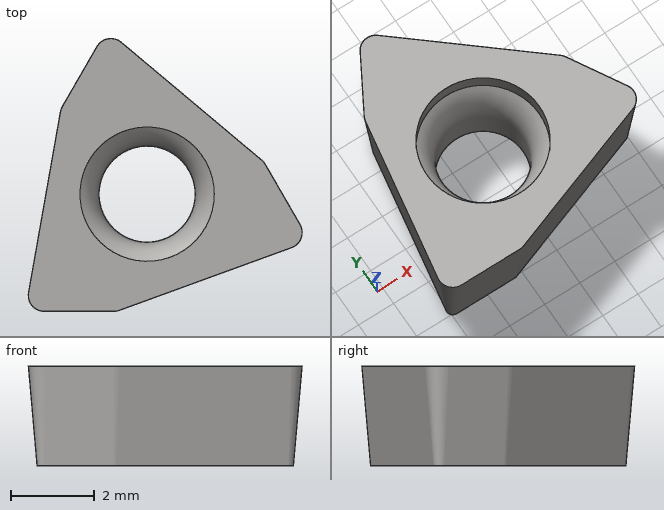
import cadquery as cq
import math

thickness = 2.38
relief_angle = 5.0
long_edge_distance = 2.38
short_edge_distance = 2.795
long_edge_angle = 80.0
corner_radius = 0.385
bore_radius = 1.14
recess_radius = 1.6
recess_depth = 0.5
seat_radius = 1.0

seat_depth = math.sqrt(seat_radius**2 - (seat_radius - recess_radius + bore_radius) ** 2)
bore_top = thickness - recess_depth - seat_depth


def edge_crossing(distance_a, angle_a, distance_b, angle_b):
    """Point where two edges meet, each given by its distance and outward normal angle."""
    a = math.radians(angle_a)
    b = math.radians(angle_b)
    spread = math.sin(b - a)
    x = (distance_a * math.sin(b) - distance_b * math.sin(a)) / spread
    y = (distance_b * math.cos(a) - distance_a * math.cos(b)) / spread
    return x, y


def trigon_corners():
    """Sharp and blunt corners of the outline, repeated three times around the hole."""
    corners = []
    for turn in (0, 120, 240):
        short_normal = 270 + turn
        long_normal = short_normal - (180 - long_edge_angle)
        next_long_normal = long_normal + 120
        corners.append(edge_crossing(long_edge_distance, long_normal, short_edge_distance, short_normal))
        corners.append(edge_crossing(short_edge_distance, short_normal, long_edge_distance, next_long_normal))
    return corners


def rounded_outline():
    """Top-face outline with all corners rounded."""
    prism = cq.Workplane("XY").polyline(trigon_corners()).close().extrude(thickness)
    return prism.edges("|Z").fillet(corner_radius).faces(">Z").wires().val()


def insert_body():
    """Outline on the top face, narrowing downwards to the bottom face."""
    top_plane = cq.Workplane("XY", origin=(0, 0, thickness))
    return top_plane.add(rounded_outline()).toPending().extrude(-thickness, taper=relief_angle)


def screw_hole():
    """Straight bore, convex seat and straight recess, revolved about Z."""
    seat_center_x = bore_radius + seat_radius
    half_angle = math.asin(seat_depth / seat_radius) / 2
    seat_middle = (
        seat_center_x - seat_radius * math.cos(half_angle),
        bore_top + seat_radius * math.sin(half_angle),
    )
    profile = (
        cq.Workplane("XZ")
        .lineTo(bore_radius, 0)
        .lineTo(bore_radius, bore_top)
        .threePointArc(seat_middle, (recess_radius, thickness - recess_depth))
        .lineTo(recess_radius, thickness)
        .lineTo(0, thickness)
        .close()
    )
    return profile.revolve(360, (0, 0, 0), (0, 1, 0))


result = insert_body().cut(screw_hole())